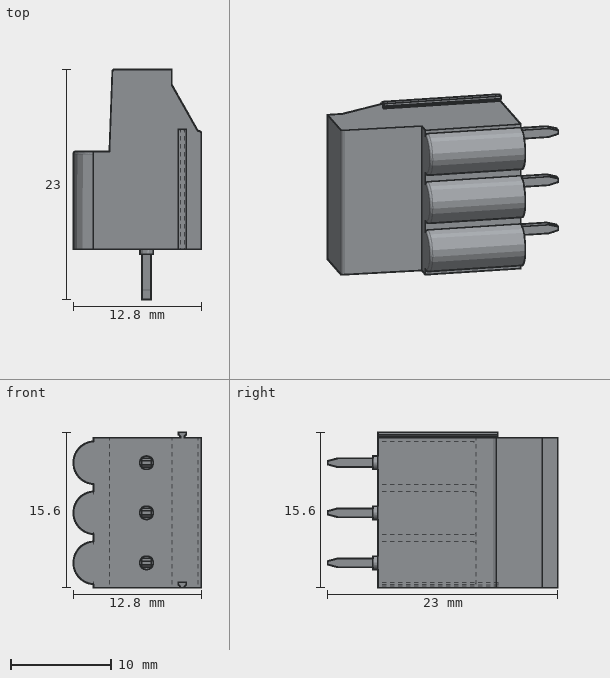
import cadquery as cq


pole_count = 3
pitch = 5.0
height = pole_count * pitch
base_width = 10.8
depth = 18.0
lobe_depth = 9.8
upper_left = 1.6
upper_wall_draft = 0.3
end_right = 7.85
end_land = 1.55
shoulder_y = 11.85
shoulder_width = 0.35
edge_round = 0.25

lobe_reach = 2.0
lobe_radius = 2.15

pin_x = 5.32
pin_length = 5.0
pin_width = 0.92
pin_height = 0.9
tip_length = 1.0
tip_height = 0.36
collar_radius = 0.675
collar_length = 0.5

rail_height = 0.57
rail_width = 0.8
rail_neck_width = 0.4
rail_neck_height = 0.12
rail_length = 12.0
rail_x = base_width - 1.5 - rail_width / 2

pole_heights = [(index + 0.5) * pitch for index in range(pole_count)]


def make_housing():
    """Side profile extruded over all poles, with rounded far corner and shoulder."""
    far_left = upper_left + upper_wall_draft
    profile = [
        (0, 0),
        (base_width, 0),
        (base_width, shoulder_y),
        (base_width - shoulder_width, shoulder_y),
        (end_right, depth - end_land),
        (end_right, depth),
        (far_left, depth),
        (upper_left, lobe_depth),
        (0, lobe_depth),
    ]
    housing = cq.Workplane("XY").polyline(profile).close().extrude(height)
    rounded_corners = [(far_left, depth), (base_width, shoulder_y)]
    for x, y in rounded_corners:
        corner_edge = cq.selectors.NearestToPointSelector((x, y, height / 2))
        housing = housing.edges("|Z").edges(corner_edge).fillet(edge_round)
    return housing


def make_lobe(z):
    """Cylinder along Y with its far rim rounded, half sunk into the housing."""
    return (
        cq.Workplane("XZ", origin=(lobe_radius - lobe_reach, 0, z))
        .circle(lobe_radius)
        .extrude(-lobe_depth)
        .faces(">Y")
        .edges()
        .fillet(edge_round)
    )


def make_pin(z):
    """Round collar and rectangular pin whose tip tapers in Z."""
    collar = (
        cq.Workplane("XZ", origin=(pin_x, 0, z))
        .circle(collar_radius)
        .extrude(collar_length)
    )
    tip_start = tip_length - pin_length
    outline = [
        (0, -pin_height / 2),
        (0, pin_height / 2),
        (tip_start, pin_height / 2),
        (-pin_length, tip_height / 2),
        (-pin_length, -tip_height / 2),
        (tip_start, -pin_height / 2),
    ]
    blade = (
        cq.Workplane("YZ", origin=(pin_x, 0, z))
        .polyline(outline)
        .close()
        .extrude(pin_width / 2, both=True)
    )
    return collar.union(blade)


def make_rail(z):
    """Dovetail bar along Y: a narrow neck that flares at 45 degrees to the head."""
    half_neck = rail_neck_width / 2
    half_head = rail_width / 2
    flare_top = rail_neck_height + half_head - half_neck
    profile = [
        (-half_neck, 0),
        (half_neck, 0),
        (half_neck, rail_neck_height),
        (half_head, flare_top),
        (half_head, rail_height),
        (-half_head, rail_height),
        (-half_head, flare_top),
        (-half_neck, rail_neck_height),
    ]
    return (
        cq.Workplane("XZ", origin=(rail_x, 0, z))
        .polyline(profile)
        .close()
        .extrude(-rail_length)
    )


result = make_housing()
for pole_z in pole_heights:
    result = result.union(make_lobe(pole_z))
    result = result.union(make_pin(pole_z))
result = result.union(make_rail(height))
result = result.cut(make_rail(0))